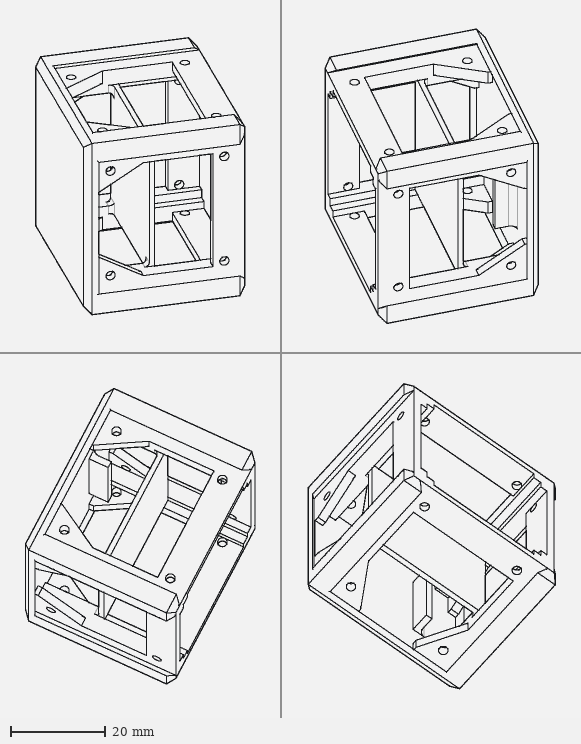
import cadquery as cq

side = 41.0
depth = 35.5
edge_chamfer = 1.5

slot_depth = 1.5
slot_mouth_width = 31.5
slot_front = 3.0
slot_floor = side / 2 - slot_depth

wall = 2.0
front_wall = 2.0
cavity_half = slot_floor - wall
front_top_wall = 3.0
front_cavity_half_height = slot_floor - front_top_wall
opening_width = 27.0
opening_half = opening_width / 2
rear_pocket_width = 30.75

partition_front = 15.5
partition_thickness = 1.2
partition_rear = partition_front + partition_thickness
post_fillet = 1.0

window_rear = 28.5
window_taper_start = 13.2
window_front_width = 15.0

hole_diameter = 2.0
hole_spacing = 25.0
hole_front = 6.0

rib_left = -9.0
rib_right = -7.5
rib_rear = 6.5
rib_height = 20.0
rib_fillet = 1.5


def square_bar(width_x, width_z, y_start, y_end):
    """Box centred on the Y axis, running from y_start to y_end."""
    length = y_end - y_start
    return cq.Workplane("XY").box(width_x, length, width_z).translate((0, y_start + length / 2, 0))


def outer_block():
    """Block with all edges of its front and rear ends chamfered."""
    block = square_bar(side, side, 0, depth)
    return block.faces("<Y or >Y").chamfer(edge_chamfer)


def cavity_cross(half_height, y_start, y_end):
    """Plus-shaped space that leaves a solid post in each long corner."""
    flat = square_bar(2 * cavity_half, opening_width, y_start, y_end)
    upright = square_bar(opening_width, 2 * half_height, y_start, y_end)
    return flat.union(upright)


def panel_slot():
    """Top slot whose side and front walls lean outwards at 45 degrees towards the floor."""
    mouth_half = slot_mouth_width / 2
    floor_half = mouth_half + slot_depth
    sides = (
        cq.Workplane("XZ")
        .polyline([
            (-mouth_half, side / 2),
            (mouth_half, side / 2),
            (floor_half, slot_floor),
            (-floor_half, slot_floor),
        ])
        .close()
        .extrude(-depth)
    )
    length_profile = (
        cq.Workplane("YZ")
        .polyline([
            (slot_front, side / 2),
            (depth, side / 2),
            (depth, slot_floor),
            (slot_front - slot_depth, slot_floor),
        ])
        .close()
        .extrude(side / 2, both=True)
    )
    return sides.intersect(length_profile)


def window():
    """Opening through the top slot floor."""
    front_half = window_front_width / 2
    return (
        cq.Workplane("XY", origin=(0, 0, front_cavity_half_height))
        .polyline([
            (-opening_half, window_rear),
            (opening_half, window_rear),
            (opening_half, window_taper_start),
            (front_half, slot_front),
            (front_half, front_wall),
            (-front_half, front_wall),
            (-front_half, slot_front),
            (-opening_half, window_taper_start),
        ])
        .close()
        .extrude(front_top_wall)
    )


def screw_holes():
    """Four holes through the top slot floor."""
    hole_x = hole_spacing / 2
    hole_rear = hole_front + hole_spacing
    centres = [(x, y) for x in (-hole_x, hole_x) for y in (hole_front, hole_rear)]
    return (
        cq.Workplane("XY", origin=(0, 0, front_cavity_half_height))
        .pushPoints(centres)
        .circle(hole_diameter / 2)
        .extrude(front_top_wall)
    )


def partition():
    """Square plate filling the front end of the rear pocket."""
    return square_bar(rear_pocket_width, rear_pocket_width, partition_front, partition_rear)


def post_foot():
    """Foot of one post, flared by mitred concave fillets where it meets the partition."""
    y_start = partition_front - post_fillet
    half = rear_pocket_width / 2
    flare = (
        cq.Workplane("XY")
        .moveTo(opening_half, y_start)
        .radiusArc((opening_half - post_fillet, partition_front), -post_fillet)
        .lineTo(half, partition_front)
        .lineTo(half, y_start)
        .close()
        .extrude(half, both=True)
    )
    return flare.intersect(flare.rotate((0, 0, 0), (0, 1, 0), -90))


def rib():
    """Upright rib behind the front wall, with a fillet at the foot of its left face."""
    foot = front_wall + rib_fillet
    return (
        cq.Workplane("XY", origin=(0, 0, -rib_height / 2))
        .moveTo(rib_left - rib_fillet, front_wall)
        .radiusArc((rib_left, foot), -rib_fillet)
        .lineTo(rib_left, rib_rear)
        .lineTo(rib_right, rib_rear)
        .lineTo(rib_right, front_wall)
        .close()
        .extrude(rib_height)
    )


body = outer_block()
body = body.cut(cavity_cross(front_cavity_half_height, front_wall, partition_front))
body = body.cut(cavity_cross(cavity_half, partition_front, depth))
body = body.cut(square_bar(rear_pocket_width, rear_pocket_width, partition_rear, depth))
body = body.union(rib()).union(partition())

for quarter_turn in range(4):
    angle = 90 * quarter_turn
    body = body.union(post_foot().rotate((0, 0, 0), (0, 1, 0), angle))
    for cutter in (panel_slot(), window(), screw_holes()):
        body = body.cut(cutter.rotate((0, 0, 0), (0, 1, 0), angle))

result = body